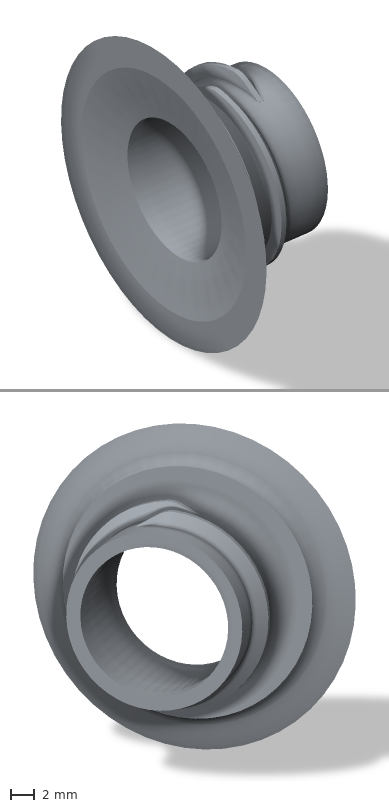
import cadquery as cq
import math

flange_radius = 14.18
overall_length = 11.43
tube_radius = 7.75
bore_radius = 6.5
cone_mouth_radius = 11.37
cone_depth = 1.13

step_radius = 10.97
step_height = 1.98
rim_slope_radius = 11.8
rim_slope_height = 0.77
tube_fillet = 1.5

thread_lead = 3.05
thread_crest_radius = 8.87
thread_embed = 0.23
thread_start_height = 5.13
crest_half_width = 0.25
upper_root_offset = 1.15
lower_root_offset = 0.45
run_out_angle = 18.9
tip_height = 0.03
blend_angle = 5.0
blend_mid_sink = 0.1
blend_end_sink = 0.43


def arc_mid(center, radius, start_angle, end_angle):
    """Point halfway along an arc, with angles in radians."""
    angle = (start_angle + end_angle) / 2
    return (center[0] + radius * math.cos(angle), center[1] + radius * math.sin(angle))


def make_body():
    """Flange and tube without the bore, revolved about Z."""
    slope = math.atan2(rim_slope_height, flange_radius - rim_slope_radius)
    cove_radius = (step_height - rim_slope_height) / math.cos(slope)
    cove_center = (step_radius + cove_radius, step_height)
    cove_mid = arc_mid(cove_center, cove_radius, math.pi, 1.5 * math.pi - slope)

    fillet_top = step_height + tube_fillet
    fillet_center = (tube_radius + tube_fillet, fillet_top)
    fillet_mid = arc_mid(fillet_center, tube_fillet, math.pi, 1.5 * math.pi)
    return (
        cq.Workplane("XZ")
        .lineTo(flange_radius, 0)
        .lineTo(rim_slope_radius, rim_slope_height)
        .threePointArc(cove_mid, (step_radius, step_height))
        .lineTo(tube_radius + tube_fillet, step_height)
        .threePointArc(fillet_mid, (tube_radius, fillet_top))
        .lineTo(tube_radius, overall_length)
        .lineTo(0, overall_length)
        .close()
        .revolve(360, (0, 0, 0), (0, 1, 0))
    )


def make_bore():
    """Straight bore opening into a shallow conical mouth."""
    return (
        cq.Workplane("XZ")
        .lineTo(cone_mouth_radius, 0)
        .lineTo(bore_radius, cone_depth)
        .lineTo(bore_radius, overall_length)
        .lineTo(0, overall_length)
        .close()
        .revolve(360, (0, 0, 0), (0, 1, 0))
    )


def thread_section(angle, sink):
    """Thread outline at an angle along the helix, moved inward by sink."""
    embed_ratio = thread_embed / (thread_crest_radius - tube_radius)
    upper_offset = upper_root_offset + embed_ratio * (upper_root_offset - crest_half_width)
    lower_offset = lower_root_offset + embed_ratio * (lower_root_offset - crest_half_width)
    root = tube_radius - thread_embed - sink
    crest = thread_crest_radius - sink
    outline = [
        (root, upper_offset),
        (crest, crest_half_width),
        (crest, -crest_half_width),
        (root, -lower_offset),
    ]
    height = thread_start_height + thread_lead * angle / 360
    turn = math.radians(angle)
    points = [
        cq.Vector(radius * math.cos(turn), radius * math.sin(turn), height + offset)
        for radius, offset in outline
    ]
    return cq.Wire.makePolygon(points, close=True)


def make_run_out(end_angle, direction):
    """Rounded blend out of the full section, then a wedge sinking into the tube."""
    blend_end = thread_section(end_angle + direction * blend_angle, blend_end_sink)
    blend_sections = [
        thread_section(end_angle - direction * blend_angle, 0),
        thread_section(end_angle, blend_mid_sink),
        blend_end,
    ]
    tip_sink = thread_crest_radius - tube_radius - tip_height
    tip = thread_section(end_angle + direction * run_out_angle, tip_sink)
    blend = cq.Solid.makeLoft(blend_sections, False)
    wedge = cq.Solid.makeLoft([blend_end, tip], True)
    return cq.Workplane(blend).union(cq.Workplane(wedge))


def make_turn():
    """Full-height thread between the two end blends."""
    turn_height = thread_lead * (360 - 2 * blend_angle) / 360
    path_start = thread_start_height + thread_lead * blend_angle / 360
    path = cq.Wire.makeHelix(thread_lead, turn_height, tube_radius)
    path = path.rotate(cq.Vector(0, 0, 0), cq.Vector(0, 0, 1), blend_angle)
    path = path.translate(cq.Vector(0, 0, path_start))
    return cq.Workplane(cq.Solid.sweep(thread_section(blend_angle, 0), [], path, True, True))


body = make_body().union(make_turn())
for end_angle, direction in [(0, -1), (360, 1)]:
    body = body.union(make_run_out(end_angle, direction))
body = body.cut(make_bore())

result = body.rotate((0, 0, 0), (0, 0, 1), -90).rotate((0, 0, 0), (1, 0, 0), -90)